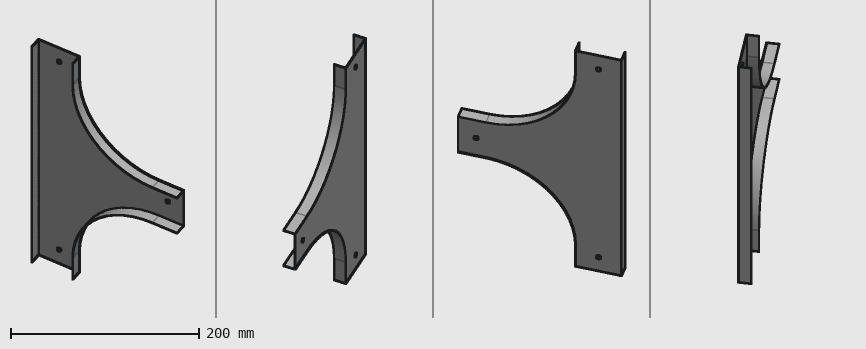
import cadquery as cq

length = 312.0
reach = 182.0
depth = 14.0
sheet = 0.8

channel_width = 2 * reach - length
half_length = length / 2
half_width = channel_width / 2
bend_radius = 99.2
stub = reach - channel_width - bend_radius

hole_diameter = 5.0
hole_inset = 20.0


def tee_outline(inset):
    """Tee outline with the back and curved sides moved inward; the open ends stay put."""
    side_x = channel_width - inset
    side_z = half_width - inset
    radius = bend_radius + inset
    bend_start_z = half_length - stub
    bend_end_x = reach - stub
    diagonal = radius * 0.5 ** 0.5
    mid_x = bend_end_x - diagonal
    mid_z = bend_start_z - diagonal
    return (
        cq.Workplane("XZ")
        .moveTo(inset, -half_length)
        .lineTo(side_x, -half_length)
        .lineTo(side_x, -bend_start_z)
        .threePointArc((mid_x, -mid_z), (bend_end_x, -side_z))
        .lineTo(reach, -side_z)
        .lineTo(reach, side_z)
        .lineTo(bend_end_x, side_z)
        .threePointArc((mid_x, mid_z), (side_x, bend_start_z))
        .lineTo(side_x, half_length)
        .lineTo(inset, half_length)
        .close()
    )


body = tee_outline(0).extrude(depth)
hollow = tee_outline(sheet).extrude(depth - sheet).translate((0, -sheet, 0))
tray = body.cut(hollow)

hole_centers = [
    (half_width, half_length - hole_inset),
    (half_width, hole_inset - half_length),
    (reach - hole_inset, 0),
]
holes = cq.Workplane("XZ").pushPoints(hole_centers).circle(hole_diameter / 2).extrude(sheet)

result = tray.cut(holes)